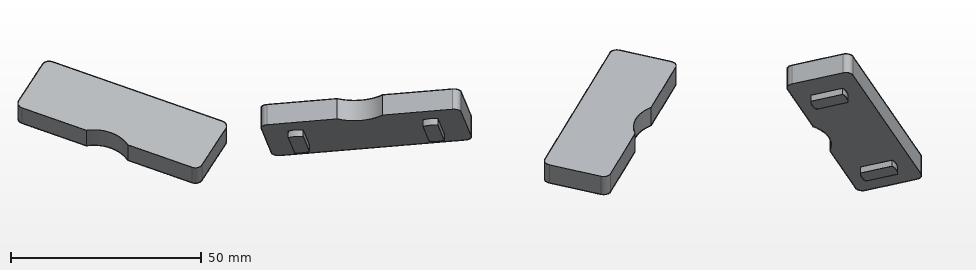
import cadquery as cq

length = 53.4
width = 18.4
total_height = 7.9
foot_height = 1.9
plate_height = total_height - foot_height
corner_radius = 2.0

notch_width = 12.05
notch_depth = 2.05
notch_radius = ((notch_width / 2) ** 2 + notch_depth**2) / (2 * notch_depth)

foot_width = 4.0
foot_length = 9.7
foot_spacing = 36.0
foot_end_sagitta = 0.4


def make_plate():
    """Flat plate with its underside at Z = 0 and rounded vertical corners."""
    plate = cq.Workplane("XY").box(length, width, plate_height, centered=(True, True, False))
    return plate.edges("|Z").fillet(corner_radius)


def make_notch():
    """Cylinder that cuts the finger notch through the full plate thickness."""
    center_y = -width / 2 + notch_depth - notch_radius
    return cq.Workplane("XY").center(0, center_y).circle(notch_radius).extrude(plate_height)


def make_foot(x):
    """Foot hanging below the plate, with straight sides and shallow arc ends."""
    half_width = foot_width / 2
    half_length = foot_length / 2
    side = half_length - foot_end_sagitta
    return (
        cq.Workplane("XY")
        .moveTo(x - half_width, -side)
        .threePointArc((x, -half_length), (x + half_width, -side))
        .lineTo(x + half_width, side)
        .threePointArc((x, half_length), (x - half_width, side))
        .close()
        .extrude(-foot_height)
    )


result = make_plate().cut(make_notch())
for foot_x in (-foot_spacing / 2, foot_spacing / 2):
    result = result.union(make_foot(foot_x))